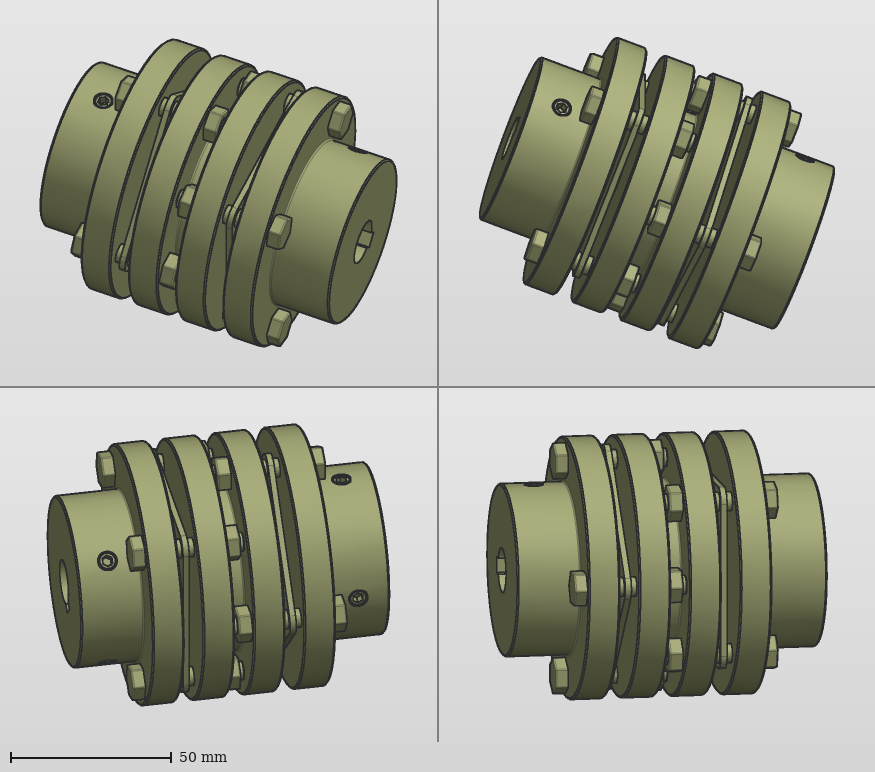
import cadquery as cq
import math

TOTAL_LENGTH = 98.0
BORE_DIAMETER = 14.0
HUB_DIAMETER = 54.0
HUB_LENGTH = 20.0
FLANGE_DIAMETER = 82.0
FLANGE_THICKNESS = 10.0
EDGE_CHAMFER = 0.5
ROOT_FILLET = 0.5

KEYWAY_WIDTH = 5.0
KEYWAY_REACH = 9.3

BOLT_COUNT = 4
BOLT_CIRCLE_RADIUS = 34.0
BOLT_DIAMETER = 6.0
BOLT_LENGTH = 31.85
BOLT_TIP_CHAMFER = 0.2
HEX_ACROSS_FLATS = 10.0
HEX_SIDES = 6
HEX_HALF_ANGLE = 180 / HEX_SIDES
HEAD_HEIGHT = 4.0
NUT_HEIGHT = 4.3
HEX_EDGE_FILLET = 0.5

DISC_THICKNESS = 2.0
DISC_CORNER_RADIUS = 4.7

SCREW_DIAMETER = 6.0
SCREW_RECESS = 0.3
SCREW_TIP_CLEARANCE = 0.2
SCREW_CHAMFER = 0.5
SOCKET_ACROSS_FLATS = 3.0
SOCKET_DEPTH = 2.9

HALF_TURN = 180.0 / BOLT_COUNT

GAP = (TOTAL_LENGTH - 2 * HUB_LENGTH - 4 * FLANGE_THICKNESS) / 3
OUTER_FLANGE_X = HUB_LENGTH
DISC_GAP_X = OUTER_FLANGE_X + FLANGE_THICKNESS
INNER_FLANGE_X = DISC_GAP_X + GAP
SPACER_X = INNER_FLANGE_X + FLANGE_THICKNESS


def across_corners(across_flats):
    return across_flats / math.cos(math.radians(HEX_HALF_ANGLE))


def cylinder(start_x, length, diameter):
    return cq.Workplane("YZ", origin=(start_x, 0, 0)).circle(diameter / 2).extrude(length)


def flange(start_x):
    return cylinder(start_x, FLANGE_THICKNESS, FLANGE_DIAMETER).edges().chamfer(EDGE_CHAMFER)


def root_edges(body, x):
    """Circular edge where the hub-sized cylinder meets a flange face at x."""
    reach = HUB_DIAMETER / 2 + ROOT_FILLET
    low_corner = (x - ROOT_FILLET, -reach, -reach)
    high_corner = (x + ROOT_FILLET, reach, reach)
    return body.edges(cq.selectors.BoxSelector(low_corner, high_corner, boundingbox=True))


def hub():
    """Outer flange with its hub, before the bore is cut."""
    barrel = cylinder(0, HUB_LENGTH, HUB_DIAMETER).faces("<X").chamfer(EDGE_CHAMFER)
    body = barrel.union(flange(OUTER_FLANGE_X))
    return root_edges(body, OUTER_FLANGE_X).fillet(ROOT_FILLET)


def spacer():
    """Barrel in the middle with an inner flange at each end, before the bore is cut."""
    barrel = cylinder(SPACER_X, GAP, HUB_DIAMETER)
    body = barrel.union(flange(INNER_FLANGE_X)).union(flange(SPACER_X + GAP))
    for root_x in (SPACER_X, SPACER_X + GAP):
        body = root_edges(body, root_x).fillet(ROOT_FILLET)
    return body


def disc():
    side = 2 * (BOLT_CIRCLE_RADIUS * math.cos(math.pi / BOLT_COUNT) + DISC_CORNER_RADIUS)
    start_x = DISC_GAP_X + (GAP - DISC_THICKNESS) / 2
    plate = cq.Workplane("YZ", origin=(start_x, 0, 0)).rect(side, side).extrude(DISC_THICKNESS)
    return plate.edges("|X").fillet(DISC_CORNER_RADIUS).rotate((0, 0, 0), (1, 0, 0), HALF_TURN)


def hex_block(start_x, height, free_face):
    """Hexagonal block on the +Y bolt axis with one corner pointing outward."""
    plane = cq.Workplane("YZ", origin=(start_x, BOLT_CIRCLE_RADIUS, 0))
    block = plane.polygon(HEX_SIDES, across_corners(HEX_ACROSS_FLATS)).extrude(height)
    return block.edges("|X").fillet(HEX_EDGE_FILLET).faces(free_face).edges().fillet(HEX_EDGE_FILLET)


def bolt():
    """Bolt and nut on the +Y bolt axis."""
    head = hex_block(OUTER_FLANGE_X - HEAD_HEIGHT, HEAD_HEIGHT, "<X")
    nut = hex_block(SPACER_X, NUT_HEIGHT, ">X")
    shank = cylinder(OUTER_FLANGE_X, BOLT_LENGTH, BOLT_DIAMETER).faces(">X").chamfer(BOLT_TIP_CHAMFER)
    return head.union(shank.translate((0, BOLT_CIRCLE_RADIUS, 0))).union(nut)


def keyway():
    """Slot through the hub and its flange."""
    return cq.Workplane("XY").box(DISC_GAP_X, KEYWAY_REACH, KEYWAY_WIDTH, centered=(False, False, True))


def screw_hole():
    """Radial hole along +Z from the axis through the hub wall."""
    plane = cq.Workplane("XY", origin=(HUB_LENGTH / 2, 0, 0))
    return plane.circle(SCREW_DIAMETER / 2).extrude(HUB_DIAMETER / 2)


def set_screw():
    """Socket set screw along +Z, with its tip just short of the bore."""
    tip_z = BORE_DIAMETER / 2 + SCREW_TIP_CLEARANCE
    top_z = HUB_DIAMETER / 2 - SCREW_RECESS
    plane = cq.Workplane("XY", origin=(HUB_LENGTH / 2, 0, tip_z))
    body = plane.circle(SCREW_DIAMETER / 2).extrude(top_z - tip_z).edges("%CIRCLE").chamfer(SCREW_CHAMFER)
    socket = (
        cq.Workplane("XY", origin=(HUB_LENGTH / 2, 0, top_z))
        .polygon(HEX_SIDES, across_corners(SOCKET_ACROSS_FLATS))
        .extrude(-SOCKET_DEPTH)
        .rotate((HUB_LENGTH / 2, 0, 0), (HUB_LENGTH / 2, 0, 1), HEX_HALF_ANGLE)
    )
    return body.cut(socket)


def bore(start_x, end_x):
    return cylinder(start_x, end_x - start_x, BORE_DIAMETER)


def coupling_half():
    """Left hub with its disc, bolts and set screws."""
    body = hub().union(disc()).cut(bore(0, INNER_FLANGE_X)).cut(keyway())
    for index in range(BOLT_COUNT):
        body = body.union(bolt().rotate((0, 0, 0), (1, 0, 0), index * 360 / BOLT_COUNT))

    for angle in (0, -90):
        body = body.cut(screw_hole().rotate((0, 0, 0), (1, 0, 0), angle))
        body = body.union(set_screw().rotate((0, 0, 0), (1, 0, 0), angle))
    return body


left_half = coupling_half()
right_half = left_half.mirror("YZ", (TOTAL_LENGTH / 2, 0, 0)).rotate((0, 0, 0), (1, 0, 0), -HALF_TURN)
middle = spacer().cut(bore(INNER_FLANGE_X, TOTAL_LENGTH - INNER_FLANGE_X))
result = middle.union(left_half).union(right_half)